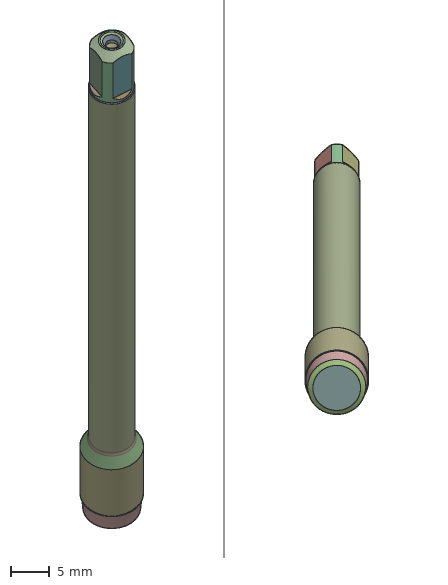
import cadquery as cq
import math

LENGTH = 90.0

HEAD_DIAMETER = 8.2
HEAD_TOP_Z = 12.1
LEAD_HEIGHT = 3.1
LEAD_TOP_DIAMETER = 7.9
LEAD_BOTTOM_DIAMETER = 7.5
END_CHAMFER_HEIGHT = 0.4
END_FACE_DIAMETER = 6.1

SHANK_DIAMETER = 6.0
NECK_HEIGHT = 1.8
NECK_FILLET_RADIUS = 0.9

DRIVE_DIAMETER = 5.8
DRIVE_FLAT_COUNT = 4
ACROSS_FLATS = 4.95
DRIVE_FLAT_LENGTH = 7.9
FLAT_RUNOUT_ANGLE = 50.0
SHANK_SHOULDER_LENGTH = 8.9
DRIVE_CHAMFER = 1.2

HOLE_DIAMETER = 1.6
HOLE_MOUTH_DIAMETER = 3.0
HOLE_SEAT_DIAMETER = 2.3
HOLE_POINT_DEPTH = 1.35
HOLE_MOUTH_ANGLE = 120.0
HOLE_SEAT_ANGLE = 60.0
HOLE_POINT_ANGLE = 120.0


def revolve_about_z(points):
    """Revolve a closed (radius, height) outline about the Z axis."""
    return cq.Workplane("XZ").polyline(points).close().revolve(360, (0, 0), (0, 1))


def make_cutting_head():
    """Cylindrical head with a stepped, tapered lead at its lower end."""
    return revolve_about_z([
        (0, 0),
        (END_FACE_DIAMETER / 2, 0),
        (LEAD_BOTTOM_DIAMETER / 2, END_CHAMFER_HEIGHT),
        (LEAD_TOP_DIAMETER / 2, LEAD_HEIGHT),
        (HEAD_DIAMETER / 2, LEAD_HEIGHT),
        (HEAD_DIAMETER / 2, HEAD_TOP_Z),
        (0, HEAD_TOP_Z),
    ])


def make_turned_shank():
    """Conical neck, filleted into a long round shank with a chamfered drive end."""
    neck_top_z = HEAD_TOP_Z + NECK_HEIGHT
    shoulder_z = LENGTH - SHANK_SHOULDER_LENGTH
    shoulder_bevel = (SHANK_DIAMETER - DRIVE_DIAMETER) / 2
    shank = revolve_about_z([
        (0, HEAD_TOP_Z),
        (HEAD_DIAMETER / 2, HEAD_TOP_Z),
        (SHANK_DIAMETER / 2, neck_top_z),
        (SHANK_DIAMETER / 2, shoulder_z),
        (DRIVE_DIAMETER / 2, shoulder_z + shoulder_bevel),
        (DRIVE_DIAMETER / 2, LENGTH - DRIVE_CHAMFER),
        (DRIVE_DIAMETER / 2 - DRIVE_CHAMFER, LENGTH),
        (0, LENGTH),
    ])
    neck_edge = cq.selectors.BoxSelector(
        (-SHANK_DIAMETER, -SHANK_DIAMETER, neck_top_z - NECK_HEIGHT / 2),
        (SHANK_DIAMETER, SHANK_DIAMETER, neck_top_z + NECK_HEIGHT / 2),
        boundingbox=True,
    )
    return shank.edges("%CIRCLE").edges(neck_edge).fillet(NECK_FILLET_RADIUS)


def make_flat_cutter():
    """One milling cut outside the +X drive flat, with a sloping run-out at its foot."""
    flat_x = ACROSS_FLATS / 2
    outer_x = SHANK_DIAMETER
    foot_z = LENGTH - DRIVE_FLAT_LENGTH
    runout_drop = (outer_x - flat_x) * math.tan(math.radians(FLAT_RUNOUT_ANGLE))
    return (
        cq.Workplane("XZ")
        .polyline([
            (flat_x, LENGTH),
            (flat_x, foot_z),
            (outer_x, foot_z - runout_drop),
            (outer_x, LENGTH),
        ])
        .close()
        .extrude(SHANK_DIAMETER / 2, both=True)
    )


def cut_drive_flats(shank):
    """Mill the flats of the square drive, evenly spaced around the shank."""
    for index in range(DRIVE_FLAT_COUNT):
        angle = index * 360 / DRIVE_FLAT_COUNT
        shank = shank.cut(make_flat_cutter().rotate((0, 0, 0), (0, 0, 1), angle))
    return shank


def cone_depth(large_diameter, small_diameter, angle):
    """Axial length of a cone between two diameters, from its included angle."""
    return (large_diameter - small_diameter) / 2 / math.tan(math.radians(angle / 2))


def make_centre_hole():
    """Blind centre hole with a seat cone, a wider mouth bevel and a conical drill point."""
    seat_z = LENGTH - cone_depth(HOLE_MOUTH_DIAMETER, HOLE_SEAT_DIAMETER, HOLE_MOUTH_ANGLE)
    bore_z = seat_z - cone_depth(HOLE_SEAT_DIAMETER, HOLE_DIAMETER, HOLE_SEAT_ANGLE)
    point_z = LENGTH - HOLE_POINT_DEPTH
    tip_z = point_z - cone_depth(HOLE_DIAMETER, 0, HOLE_POINT_ANGLE)
    return revolve_about_z([
        (0, LENGTH),
        (HOLE_MOUTH_DIAMETER / 2, LENGTH),
        (HOLE_SEAT_DIAMETER / 2, seat_z),
        (HOLE_DIAMETER / 2, bore_z),
        (HOLE_DIAMETER / 2, point_z),
        (0, tip_z),
    ])


cutting_head = make_cutting_head()
shank = cut_drive_flats(make_turned_shank()).cut(make_centre_hole())

result = cq.Compound.makeCompound([cutting_head.val(), *shank.solids().vals()])